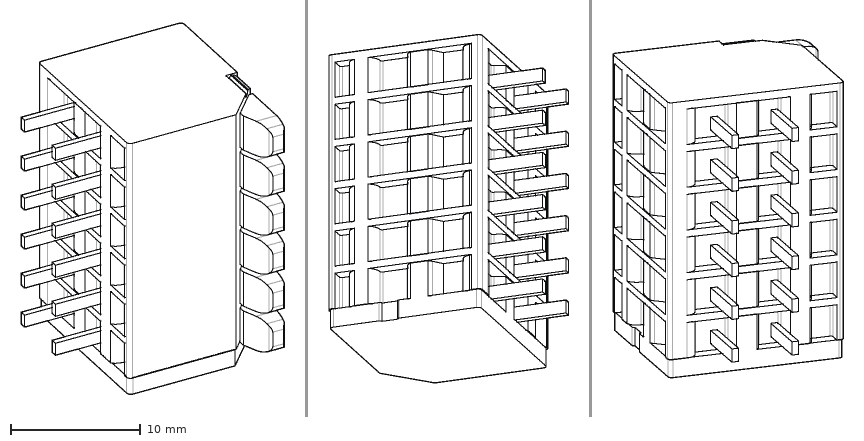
import cadquery as cq
import math

length_x = 14.5
depth_y = 12.74
height = 22.5
base_height = 1.5
base_inset = 0.1
front_left_radius = 0.3
corner_radius = 0.35
slope_start_x = 10.91
slope_end_y = 9.5

row_count = 6
row_pitch = 3.49
window_height = 2.9

pocket_depth = 1.12
floor_fillet = 0.18
foot_depth = pocket_depth - floor_fillet
post_inset = 0.1
clearance = 0.22

front_window = (1.5, 10.04)
front_post = (5.6, 7.31)
front_end = (11.63, 13.88)
front_left_walls = (foot_depth, 0.38)
front_right_walls = (0.35, 0.45)
front_end_walls = (0.38, 0)

side_window = (0.76, 9.35)
side_post = (4.43, 5.9)
side_end = (10.5, 12.13)
side_back_walls = (0.5, 0.6)
side_end_walls = (0.72, 0)
lip_width = 0.22
lip_depth = 0.14
lip_wall = 0.79
slope_bend = (4.32, 0.18)
slope_top = (4.16, 0.34)
slope_foot_y = 3.53

groove_span = (6.82, 8.48)
groove_depth = 0.18

pin_width = 0.55
pin_height = 1.08
pin_length = 3.62
pin_root = 0.22
pin_above_shelf = 0.55
pin_centres_x = (4.15, 9.1)

lever_root_x = 11.25
lever_heel_x = 13.95
lever_heel_y = 10.45
lever_bend_x = 15.1
lever_shoulder_x = 16.13
lever_bevel_x = 16.34
lever_bevel_y = 11.38
lever_bevel = 0.2
lever_tip_x = 16.58
lever_height = 3.05
lever_shoulder_drop = 0.27
lever_tip_drop = 1.01
lever_gentle_mid = (15.64, 0.07)
lever_tight_mid = (16.45, 0.52)
lever_below_shelf = 0.15

notch_start_x = 8.82
notch_start_y = 11.72
notch_floor_z = 22.18
notch_ridge_z = 22.4
notch_back_z = 22.12


def block(x_range, y_range, z_range):
    """Box between the given limits."""
    size = [high - low for low, high in (x_range, y_range, z_range)]
    corner = (x_range[0], y_range[0], z_range[0])
    return cq.Workplane("XY").box(*size, centered=False).translate(corner)


def housing_block(inset, bottom, top):
    """Prism of the housing outline, moved inwards by inset."""
    outline = [
        (0, 0),
        (length_x, 0),
        (length_x, slope_end_y),
        (slope_start_x, depth_y),
        (0, depth_y),
    ]
    sketch = cq.Workplane("XY").workplane(offset=bottom).polyline(outline).close()
    if inset:
        sketch = sketch.offset2D(-inset)
    prism = sketch.extrude(top - bottom)
    prism = prism.edges("|Z and <X and <Y").fillet(front_left_radius)
    return prism.edges("|Z and (<X or >X)").edges("<Y or >Y").fillet(corner_radius)


def front_plane(shelf):
    """Sketch plane with local x along X and local y into the front face."""
    return cq.Plane(origin=(0, 0, shelf), xDir=(1, 0, 0), normal=(0, 0, 1))


def side_plane(shelf):
    """Sketch plane with local x along Y and local y into the -X face."""
    return cq.Plane(origin=(0, 0, shelf + window_height), xDir=(0, 1, 0), normal=(0, 0, -1))


def half_pocket(plane, mouth, wall_width, middle, mouth_depth=0.0):
    """Half a pocket: a wall bulging into it, a filleted foot and a flat floor up to the middle."""
    inward = math.copysign(1, middle - mouth)
    foot = mouth + inward * wall_width
    sketch = cq.Workplane(plane).moveTo(mouth, -clearance).lineTo(mouth, mouth_depth)
    if wall_width:
        rise = foot_depth - mouth_depth
        radius = (wall_width**2 + rise**2) / (2 * wall_width)
        half_angle = math.atan2(rise, radius - wall_width) / 2
        mid_wall = foot - inward * radius * (1 - math.cos(half_angle))
        mid_depth = foot_depth - radius * math.sin(half_angle)
        sketch = sketch.threePointArc((mid_wall, mid_depth), (foot, foot_depth))
    else:
        sketch = sketch.lineTo(foot, foot_depth)
    fillet_sag = floor_fillet * (1 - math.sqrt(0.5))
    sketch = sketch.threePointArc(
        (foot + inward * fillet_sag, pocket_depth - fillet_sag),
        (foot + inward * floor_fillet, pocket_depth),
    )
    sketch = sketch.lineTo(middle, pocket_depth).lineTo(middle, -clearance)
    return sketch.close().extrude(window_height)


def pocket(plane, mouths, wall_widths, mouth_depths=(0.0, 0.0)):
    """Whole pocket between two mouth edges."""
    middle = (mouths[0] + wall_widths[0] + mouths[1] - wall_widths[1]) / 2
    first = half_pocket(plane, mouths[0], wall_widths[0], middle, mouth_depths[0])
    second = half_pocket(plane, mouths[1], wall_widths[1], middle, mouth_depths[1])
    return first.union(second)


def front_row(shelf):
    """Everything cut into the front face in one row."""
    plane = front_plane(shelf)
    left = (front_window[0], front_post[0])
    right = (front_post[1], front_window[1])
    cut = block(front_post, (-clearance, post_inset), (shelf, shelf + window_height))
    cut = cut.union(pocket(plane, left, front_left_walls, (0, post_inset)))
    cut = cut.union(pocket(plane, right, front_right_walls, (post_inset, 0)))
    return cut.union(pocket(plane, front_end, front_end_walls))


def sloped_pocket(plane):
    """Front pocket of the -X face, with a bevelled lip and bulging wall facing a sloping wall."""
    lip_start = side_window[0]
    lip_end = lip_start + lip_width
    middle = (lip_end + lip_wall + slope_foot_y) / 2
    bulging_half = half_pocket(plane, lip_end, lip_wall, middle, lip_depth)
    lip = (
        cq.Workplane(plane)
        .moveTo(lip_start, -clearance)
        .lineTo(lip_start, 0)
        .lineTo(lip_end, lip_depth)
        .lineTo(lip_end, -clearance)
        .close()
        .extrude(window_height)
    )
    sloping_half = (
        cq.Workplane(plane)
        .moveTo(side_post[0], -clearance)
        .lineTo(side_post[0], post_inset)
        .threePointArc(slope_bend, slope_top)
        .lineTo(slope_foot_y, pocket_depth)
        .lineTo(middle, pocket_depth)
        .lineTo(middle, -clearance)
        .close()
        .extrude(window_height)
    )
    return bulging_half.union(lip).union(sloping_half)


def side_row(shelf):
    """Everything cut into the -X face in one row."""
    plane = side_plane(shelf)
    back = (side_post[1], side_window[1])
    cut = block((-clearance, post_inset), side_post, (shelf, shelf + window_height))
    cut = cut.union(pocket(plane, back, side_back_walls, (post_inset, 0)))
    cut = cut.union(pocket(plane, side_end, side_end_walls))
    return cut.union(sloped_pocket(plane))


def groove():
    """Upright groove in the base plate, with rounded edges."""
    start, end = groove_span
    floor = base_inset + groove_depth
    bulge = groove_depth * math.sqrt(0.5)
    mid_x = floor - bulge
    return (
        cq.Workplane("XY")
        .moveTo(base_inset, start)
        .threePointArc((mid_x, start + bulge), (floor, start + groove_depth))
        .lineTo(floor, end - groove_depth)
        .threePointArc((mid_x, end - bulge), (base_inset, end))
        .close()
        .extrude(base_height)
    )


def notch():
    """Notch in the top back edge, with a ridge along it."""
    profile = [
        (notch_start_y, height),
        (notch_start_y, notch_floor_z),
        (12.02, notch_floor_z),
        (12.15, notch_ridge_z),
        (12.26, notch_ridge_z),
        (12.49, 22.32),
        (depth_y, notch_back_z),
        (depth_y, height),
    ]
    plane = cq.Workplane("YZ", origin=(notch_start_x, 0, 0))
    return plane.polyline(profile).close().extrude(length_x - notch_start_x)


def pin(centre_x, shelf):
    """Rectangular pin rising from a pocket floor and sticking out of the front."""
    left = centre_x - pin_width / 2
    bottom = shelf + pin_above_shelf
    y_range = (-pin_length, pocket_depth + pin_root)
    return block((left, left + pin_width), y_range, (bottom, bottom + pin_height))


def lever(shelf):
    """Lever standing out of the sloping corner, with a tapered plan and a rounded end."""
    plan = [
        (lever_root_x, lever_heel_y),
        (lever_heel_x, lever_heel_y),
        (lever_bevel_x, lever_bevel_y),
        (lever_tip_x, lever_bevel_y + lever_bevel),
        (lever_tip_x, depth_y - lever_bevel),
        (lever_bevel_x, depth_y),
        (lever_root_x, depth_y),
    ]
    half_height = lever_height / 2
    lower_half = (
        cq.Workplane("XZ", origin=(0, depth_y, 0))
        .moveTo(lever_root_x, 0)
        .lineTo(lever_bend_x, 0)
        .threePointArc(lever_gentle_mid, (lever_shoulder_x, lever_shoulder_drop))
        .threePointArc(lever_tight_mid, (lever_tip_x, lever_tip_drop))
        .lineTo(lever_tip_x, half_height)
        .lineTo(lever_root_x, half_height)
        .close()
        .extrude(depth_y)
    )
    body = cq.Workplane("XY").polyline(plan).close().extrude(half_height).intersect(lower_half)
    body = body.union(body.mirror("XY", (0, 0, half_height)))
    return body.translate((0, 0, shelf - lever_below_shelf))


result = housing_block(0, base_height, height).union(housing_block(base_inset, 0, base_height))
result = result.cut(groove()).cut(notch())
for row in range(row_count):
    row_shelf = base_height + row * row_pitch
    result = result.cut(front_row(row_shelf)).cut(side_row(row_shelf))
    result = result.union(lever(row_shelf))
    for pin_x in pin_centres_x:
        result = result.union(pin(pin_x, row_shelf))